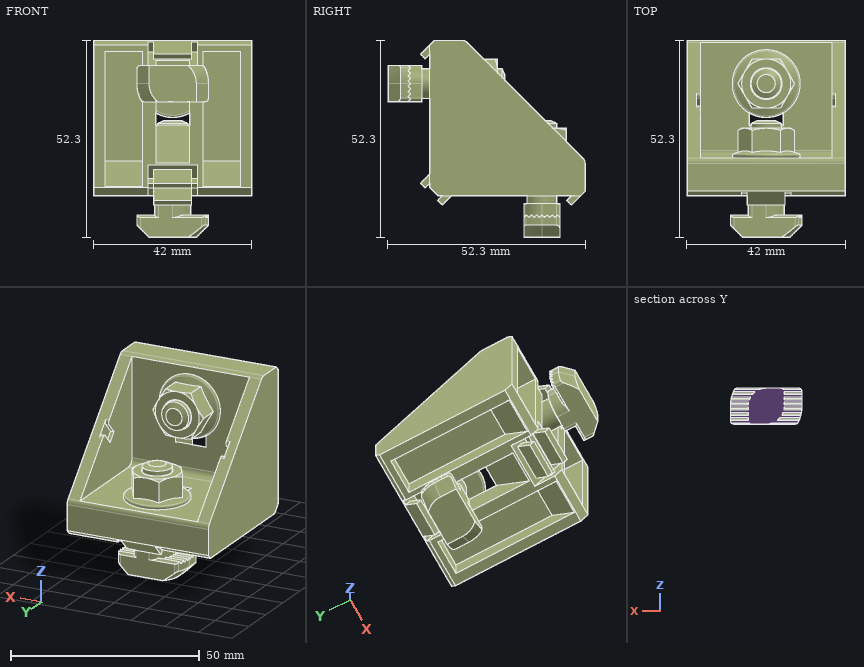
import cadquery as cq
import math


OVERALL = 52.3

WIDTH = 42.0
LEG = 41.25
WALL = 10.0
SIDE_WALL = 3.55
ROUND = 2.0
HEEL_CHAMFER = 2.15
TOE_CHAMFER = 1.2
SLOPE_INSET = ROUND * math.tan(math.pi / 8) * math.cos(math.pi / 4)
SLOPE_END = WALL - SLOPE_INSET
SLOPE_SUM = LEG + SLOPE_END

RIB = 3.5
POCKET_INNER_X = 8.0
POCKET_OUTER_X = 18.0
POCKET_TOP = 38.3
POCKET_DEPTH = 6.75
POCKET_FOOT = RIB / math.sqrt(2)

SLOT_WIDTH = 9.0
SLOT_FOOT = 8.75
SLOT_TOP = 35.95

NOTCH_WIDTH = 13.0
NOTCH_ROOT = 8.15
NOTCH_RAMP = 1.1
NOTCH_PITCH = 33.45
HEEL_RELIEF = 5.35
TAB_WIDTH = 10.1
TAB_BACK = 5.8
TAB_TIP = 0.85
TAB_THICKNESS = 1.8
TAB_PITCH = 34.25

SNAP_WIDTH = 3.2
SNAP_DEPTH = 5.0
SNAP_RECESS = 1.0
SNAP_LIP = 1.0

BOLT_CENTRE = 29.75
SHANK_DIAMETER = 8.0
SHANK_TOP = 19.95
SHANK_TIP_DIAMETER = 4.8
SHANK_TIP_LENGTH = 0.75
NECK_TOP = 2.1
WING_TOP = 5.05
HEAD_BOTTOM = OVERALL - LEG
HEAD_LENGTH = 19.05
HEAD_WIDTH = 9.6
HEAD_CHAMFER = 3.25
HEAD_ROUND = 1.0
TOOTH_COUNT = 7
TOOTH_PITCH = HEAD_WIDTH / TOOTH_COUNT
TOOTH_DEPTH = TOOTH_PITCH / 2

NUT_ACROSS_FLATS = 13.0
NUT_HEIGHT = 7.95
NUT_CHAMFER_ANGLE = 30
NUT_BORE_CHAMFER = 0.2
FLANGE_DIAMETER = 18.05
FLANGE_ROUND = 0.6
FLANGE_SLOPE = 20.5


def prism(points, width, centre_x=0):
    """Extrude a (y, z) outline symmetrically along X about centre_x."""
    outline = cq.Workplane("YZ", origin=(centre_x, 0, 0)).polyline(points).close()
    return outline.extrude(width / 2, both=True)


def turned(points):
    """Revolve an (x, z) half profile about the Z axis."""
    return cq.Workplane("XZ").polyline(points).close().revolve(360, (0, 0), (0, 1))


def swap_legs(shape):
    """Copy a feature of the upright leg to the flat leg by swapping Y and Z."""
    return shape.mirror(cq.Vector(0, 1, -1))


def diagonal_point(total, difference):
    """The (y, z) point with the given y + z and z - y."""
    return ((total - difference) / 2, (total + difference) / 2)


def diagonal_block(total_1, total_2, difference_1, difference_2, width):
    """A block turned 45 degrees, bounded by two values of y + z and two of z - y."""
    corners = [
        diagonal_point(total_1, difference_1),
        diagonal_point(total_2, difference_1),
        diagonal_point(total_2, difference_2),
        diagonal_point(total_1, difference_2),
    ]
    return prism(corners, width)


def leg_run(depth, foot, top, width, centre_x=0):
    """Cutter into the upright leg whose lower end rises inwards at 45 degrees."""
    return prism([(0, foot), (0, top), (depth, top), (depth, foot + depth)], width, centre_x)


def nearest(point):
    """Selector for the edge closest to a point."""
    return cq.selectors.NearestToPointSelector(point)


def make_blank():
    """Triangular block with the space between the legs and the side walls removed."""
    blank = prism(
        [
            (HEEL_CHAMFER, 0),
            (LEG - TOE_CHAMFER, 0),
            (LEG, TOE_CHAMFER),
            (LEG, SLOPE_END),
            (SLOPE_END, LEG),
            (TOE_CHAMFER, LEG),
            (0, LEG - TOE_CHAMFER),
            (0, HEEL_CHAMFER),
        ],
        WIDTH,
    )
    for corner in [(0, LEG, SLOPE_END), (0, SLOPE_END, LEG)]:
        blank = blank.edges(nearest(corner)).fillet(ROUND)
    cavity = prism([(WALL, WALL), (WALL, LEG), (LEG, LEG), (LEG, WALL)], WIDTH - 2 * SIDE_WALL)
    return blank.cut(cavity.edges(nearest((0, WALL, WALL))).fillet(ROUND))


def make_snap_slot(side):
    """Cutter for one snap slot: straight walls with a flared, rounded mouth."""
    half = SNAP_WIDTH / 2
    mouth = half + SNAP_LIP
    lip = SNAP_LIP * math.cos(math.pi / 4)
    middle = SLOPE_SUM / 2
    inner_x = WIDTH / 2 - SIDE_WALL
    slope = cq.Plane(origin=(side * inner_x, middle, middle), xDir=(0, 1, -1), normal=(1, 0, 0))
    return (
        cq.Workplane(slope)
        .moveTo(-mouth, 0)
        .threePointArc((-mouth + lip, -SNAP_LIP + lip), (-half, -SNAP_LIP))
        .lineTo(-half, -SNAP_DEPTH)
        .lineTo(half, -SNAP_DEPTH)
        .lineTo(half, -SNAP_LIP)
        .threePointArc((mouth - lip, -SNAP_LIP + lip), (mouth, 0))
        .close()
        .extrude(side * SNAP_RECESS)
    )


def make_bracket():
    """Bracket with its pockets, bolt slots, notches, tabs and snap slots."""
    pocket_width = POCKET_OUTER_X - POCKET_INNER_X
    pocket_x = (POCKET_OUTER_X + POCKET_INNER_X) / 2
    tab_span = TAB_THICKNESS * math.sqrt(2)

    cutters = [leg_run(WALL, SLOT_FOOT, SLOT_TOP, SLOT_WIDTH)]
    tabs = []
    for side in (-1, 1):
        cutters.append(leg_run(POCKET_DEPTH, POCKET_FOOT, POCKET_TOP, pocket_width, side * pocket_x))
    for notch_level, tab_level in [(0, 0), (NOTCH_PITCH, TAB_PITCH)]:
        root = NOTCH_ROOT + notch_level
        ramp = NOTCH_RAMP + notch_level
        notch = [(0, ramp), diagonal_point(root, ramp), (0, root)]
        cutters.append(prism(notch, NOTCH_WIDTH))
        tip = TAB_TIP + tab_level
        back = TAB_BACK + tab_level
        tabs.append(diagonal_block(tip, root, back - tab_span, back, TAB_WIDTH))

    bracket = make_blank()
    bracket = bracket.cut(prism([(0, 0), (HEEL_RELIEF, 0), (0, HEEL_RELIEF)], NOTCH_WIDTH))
    for cutter in cutters:
        bracket = bracket.cut(cutter).cut(swap_legs(cutter))
    for tab in tabs:
        bracket = bracket.union(tab).union(swap_legs(tab))
    for side in (-1, 1):
        bracket = bracket.cut(make_snap_slot(side))
    return bracket


def square_quadrants(bottom, height):
    """The two quadrants of the bolt head where x and y have equal signs."""
    quadrants = cq.Workplane("XY", origin=(0, 0, bottom))
    for side in (-1, 1):
        centre = (side * HEAD_LENGTH / 2, side * HEAD_WIDTH / 2)
        quadrants = quadrants.moveTo(*centre).rect(HEAD_LENGTH, HEAD_WIDTH)
    return quadrants.extrude(height)


def hammer_block(length, bottom, top):
    """Block of the head width, square in two opposite quadrants and round in the others."""
    height = top - bottom
    base = cq.Workplane("XY", origin=(0, 0, bottom))
    disc = base.circle(length / 2).extrude(height)
    block = disc.union(square_quadrants(bottom, height))
    block = block.intersect(base.rect(length, HEAD_WIDTH).extrude(height))

    middle = (bottom + top) / 2
    corners = [(length / 2, HEAD_WIDTH / 2)]
    if length > HEAD_WIDTH:
        corners.append((math.sqrt(length**2 - HEAD_WIDTH**2) / 2, -HEAD_WIDTH / 2))
    for x, y in corners:
        for side in (-1, 1):
            block = block.edges("|Z").edges(nearest((side * x, side * y, middle))).fillet(HEAD_ROUND)
    return block


def head_envelope():
    """Chamfered limits of the head: flat in the square quadrants and conical in the round ones."""
    end = HEAD_LENGTH / 2
    flat = end - HEAD_CHAMFER
    half_profile = [
        (0, -HEAD_BOTTOM),
        (flat, -HEAD_BOTTOM),
        (end, HEAD_CHAMFER - HEAD_BOTTOM),
        (end, -WING_TOP),
        (0, -WING_TOP),
    ]
    mirrored_profile = [(-x, z) for x, z in reversed(half_profile)]
    outline = cq.Workplane("XZ").polyline(half_profile[1:-1] + mirrored_profile[1:-1]).close()
    flat_ended = outline.extrude(HEAD_WIDTH, both=True)
    conical = turned(half_profile)
    return conical.union(flat_ended.intersect(square_quadrants(-HEAD_BOTTOM, HEAD_BOTTOM)))


def make_head():
    """Hammer head with V grooves along X across the tops of its wings."""
    head = hammer_block(HEAD_LENGTH, -HEAD_BOTTOM, -WING_TOP).intersect(head_envelope())
    for number in range(TOOTH_COUNT + 1):
        valley = number * TOOTH_PITCH - HEAD_WIDTH / 2
        groove = [
            (valley - TOOTH_PITCH / 2, -WING_TOP),
            (valley, -WING_TOP - TOOTH_DEPTH),
            (valley + TOOTH_PITCH / 2, -WING_TOP),
        ]
        head = head.cut(prism(groove, HEAD_LENGTH))
    return head


def make_bolt():
    """Upright bolt on the Z axis with z = 0 at the mounting face of the bracket."""
    shank_profile = [
        (0, -WING_TOP),
        (SHANK_DIAMETER / 2, -WING_TOP),
        (SHANK_DIAMETER / 2, SHANK_TOP - SHANK_TIP_LENGTH),
        (SHANK_TIP_DIAMETER / 2, SHANK_TOP),
        (0, SHANK_TOP),
    ]
    shank = turned(shank_profile)
    neck = hammer_block(HEAD_WIDTH, -WING_TOP - TOOTH_DEPTH, -NECK_TOP)
    return make_head().union(neck).union(shank)


def make_nut():
    """Flange nut on the Z axis, seated on the inner face of a leg."""
    radius = NUT_ACROSS_FLATS / 2
    rise = math.tan(math.radians(NUT_CHAMFER_ANGLE))
    across_corners = NUT_ACROSS_FLATS / math.cos(math.pi / 6)
    hexagon = cq.Workplane("XY").polygon(6, across_corners).extrude(NUT_HEIGHT)
    crown_profile = [
        (0, 0),
        (2 * radius, 0),
        (2 * radius, NUT_HEIGHT - radius * rise),
        (radius, NUT_HEIGHT),
        (0, NUT_HEIGHT),
    ]
    crown = turned(crown_profile)

    slope = math.radians(FLANGE_SLOPE)
    rim = FLANGE_DIAMETER / 2 - FLANGE_ROUND
    cone_foot = (rim + FLANGE_ROUND * math.sin(slope), FLANGE_ROUND * (1 + math.cos(slope)))
    cone_top = cone_foot[1] + (cone_foot[0] - radius) * math.tan(slope)
    flange = (
        cq.Workplane("XZ")
        .lineTo(rim, 0)
        .threePointArc((FLANGE_DIAMETER / 2, FLANGE_ROUND), cone_foot)
        .lineTo(radius, cone_top)
        .lineTo(0, cone_top)
        .close()
        .revolve(360, (0, 0), (0, 1))
    )
    nut = hexagon.intersect(crown).union(flange)
    bore = cq.Workplane("XY").circle(SHANK_DIAMETER / 2).extrude(NUT_HEIGHT)
    nut = nut.cut(bore).edges(nearest((0, 0, NUT_HEIGHT))).chamfer(NUT_BORE_CHAMFER)
    return nut.translate((0, 0, WALL))


def on_each_leg(fastener):
    """Two copies of an upright fastener: through the flat leg and through the upright leg."""
    level = fastener.rotate((0, 0, 0), (1, 0, 0), -90)
    return [fastener.translate((0, BOLT_CENTRE, 0)).val(), level.translate((0, 0, BOLT_CENTRE)).val()]


bracket = make_bracket()
bolts = on_each_leg(make_bolt())
nuts = on_each_leg(make_nut())

result = cq.Compound.makeCompound([bracket.val(), *bolts, *nuts])